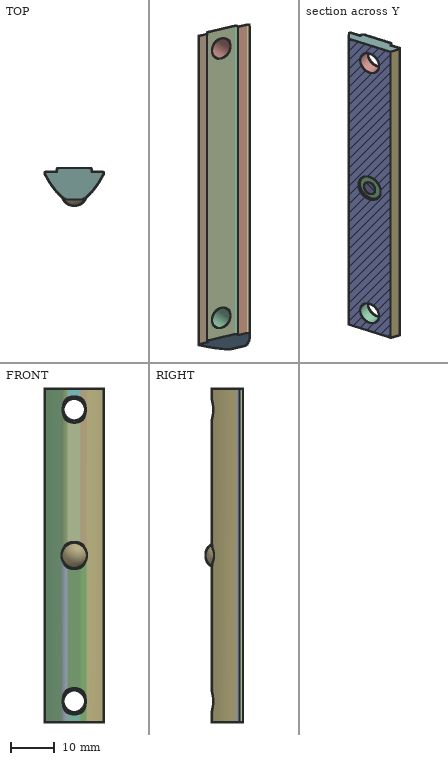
import math

import cadquery as cq

bar_length = 76.0
bar_width = 13.5
bar_depth = 7.2

tongue_width = 8.0
tongue_height = 0.86
tongue_edge_radius = 0.45

wing_edge_radius = 0.37
nose_flat_width = 3.04
nose_round_radius = 1.95
nose_round_angle = math.radians(43.5)

screw_hole_diameter = 4.92
screw_hole_mouth_diameter = 6.0
screw_hole_end_distance = 4.8

ball_protrusion = 1.46
ball_diameter = 5.8
seat_diameter = ball_diameter
seat_mouth_diameter = 6.2

nose_y = -bar_depth
ball_center_y = nose_y - ball_protrusion + ball_diameter / 2
seat_depth = ball_diameter - ball_protrusion
middle_z = bar_length / 2


def mirrored(point):
    return (-point[0], point[1])


def point_on_circle(center, radius, direction):
    return (center[0] + radius * direction[0], center[1] + radius * direction[1])


def middle_direction(first, second):
    """Unit vector halfway between two unit vectors."""
    total = (first[0] + second[0], first[1] + second[1])
    length = math.hypot(*total)
    return (total[0] / length, total[1] / length)


def make_bar_blank():
    """Extrude the cross-section; nose round, flank and wing edge are arcs tangent to each other."""
    toward_nose = (0, -1)
    toward_back = (0, 1)
    nose_flat_end = (nose_flat_width / 2, nose_y)
    nose_center = (nose_flat_end[0], nose_y + nose_round_radius)
    flank_start_normal = (math.sin(nose_round_angle), -math.cos(nose_round_angle))
    flank_start = point_on_circle(nose_center, nose_round_radius, flank_start_normal)
    nose_round_middle = point_on_circle(
        nose_center, nose_round_radius, middle_direction(toward_nose, flank_start_normal)
    )

    wing_center = (bar_width / 2 - wing_edge_radius, -tongue_height - wing_edge_radius)
    span = (wing_center[0] - flank_start[0], wing_center[1] - flank_start[1])
    span_along_normal = span[0] * flank_start_normal[0] + span[1] * flank_start_normal[1]
    flank_radius = (span[0] ** 2 + span[1] ** 2 - wing_edge_radius**2) / (
        -2 * (span_along_normal + wing_edge_radius)
    )
    flank_center = point_on_circle(flank_start, -flank_radius, flank_start_normal)
    center_distance = flank_radius - wing_edge_radius
    flank_end_normal = (
        (wing_center[0] - flank_center[0]) / center_distance,
        (wing_center[1] - flank_center[1]) / center_distance,
    )
    flank_middle = point_on_circle(
        flank_center, flank_radius, middle_direction(flank_start_normal, flank_end_normal)
    )
    flank_end = point_on_circle(wing_center, wing_edge_radius, flank_end_normal)
    wing_edge_middle = point_on_circle(
        wing_center, wing_edge_radius, middle_direction(flank_end_normal, toward_back)
    )
    wing_edge_end = (wing_center[0], -tongue_height)
    tongue_root = (tongue_width / 2, -tongue_height)
    tongue_corner = (tongue_width / 2, 0)

    blank = (
        cq.Workplane("XY")
        .moveTo(*mirrored(nose_flat_end))
        .lineTo(*nose_flat_end)
        .threePointArc(nose_round_middle, flank_start)
        .threePointArc(flank_middle, flank_end)
        .threePointArc(wing_edge_middle, wing_edge_end)
        .lineTo(*tongue_root)
        .lineTo(*tongue_corner)
        .lineTo(*mirrored(tongue_corner))
        .lineTo(*mirrored(tongue_root))
        .lineTo(*mirrored(wing_edge_end))
        .threePointArc(mirrored(wing_edge_middle), mirrored(flank_end))
        .threePointArc(mirrored(flank_middle), mirrored(flank_start))
        .threePointArc(mirrored(nose_round_middle), mirrored(nose_flat_end))
        .close()
        .extrude(bar_length)
    )
    return blank.edges("|Z and >Y").fillet(tongue_edge_radius)


def make_countersunk_cutter(diameter, mouth_diameter, depth, z):
    """Round cutter entering from the nose, with a 45 degree countersink at its mouth."""
    radius = diameter / 2
    mouth_radius = mouth_diameter / 2
    countersink_depth = mouth_radius - radius
    half_section = [
        (0, nose_y),
        (mouth_radius, nose_y),
        (radius, nose_y + countersink_depth),
        (radius, nose_y + depth),
        (0, nose_y + depth),
    ]
    cutter = cq.Workplane("XY").polyline(half_section).close().revolve(360, (0, 0, 0), (0, 1, 0))
    return cutter.translate((0, 0, z))


def make_bar():
    bar = make_bar_blank()
    for z in (screw_hole_end_distance, bar_length - screw_hole_end_distance):
        bar = bar.cut(make_countersunk_cutter(screw_hole_diameter, screw_hole_mouth_diameter, bar_depth, z))
    return bar.cut(make_countersunk_cutter(seat_diameter, seat_mouth_diameter, seat_depth, middle_z))


def make_detent_ball():
    return cq.Workplane("XY").sphere(ball_diameter / 2).translate((0, ball_center_y, middle_z))


bar = make_bar()
detent_ball = make_detent_ball()

result = cq.Compound.makeCompound([bar.val(), detent_ball.val()])